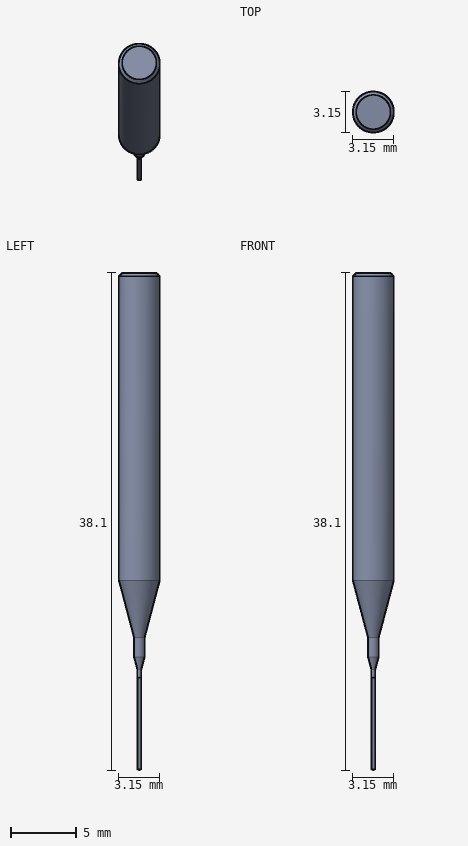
import cadquery as cq

TOTAL_LENGTH = 38.1
SHANK_RADIUS = 3.15 / 2
SHANK_BASE_Z = 14.55
TOP_CHAMFER = 0.25

NECK_RADIUS = 0.42
NECK_TOP_Z = 10.17
NECK_BASE_Z = 8.7
STUB_RADIUS = 0.165
STUB_TOP_Z = 7.75

JOINT_Z = 7.1
STUB_TAPER_HEIGHT = 0.08
CUTTER_RADIUS = 0.16
TIP_HEIGHT = 0.08

AXIS_START = (0, 0)
AXIS_END = (0, 1)


def make_shank():
    """Shank, both cones and the neck, revolved as one solid about Z."""
    profile = (
        cq.Workplane("XZ")
        .moveTo(0, JOINT_Z)
        .lineTo(-CUTTER_RADIUS, JOINT_Z)
        .lineTo(-STUB_RADIUS, JOINT_Z + STUB_TAPER_HEIGHT)
        .lineTo(-STUB_RADIUS, STUB_TOP_Z)
        .lineTo(-NECK_RADIUS, NECK_BASE_Z)
        .lineTo(-NECK_RADIUS, NECK_TOP_Z)
        .lineTo(-SHANK_RADIUS, SHANK_BASE_Z)
        .lineTo(-SHANK_RADIUS, TOTAL_LENGTH - TOP_CHAMFER)
        .lineTo(-(SHANK_RADIUS - TOP_CHAMFER), TOTAL_LENGTH)
        .lineTo(0, TOTAL_LENGTH)
        .close()
    )
    return profile.revolve(360, AXIS_START, AXIS_END)


def make_cutter():
    """Round cutter rod with a shallow conical tip at Z = 0."""
    profile = (
        cq.Workplane("YZ")
        .moveTo(0, 0)
        .lineTo(-CUTTER_RADIUS, TIP_HEIGHT)
        .lineTo(-CUTTER_RADIUS, JOINT_Z)
        .lineTo(0, JOINT_Z)
        .close()
    )
    return profile.revolve(360, AXIS_START, AXIS_END)


shank = make_shank()
cutter = make_cutter()

result = cq.Compound.makeCompound([shank.val(), cutter.val()])